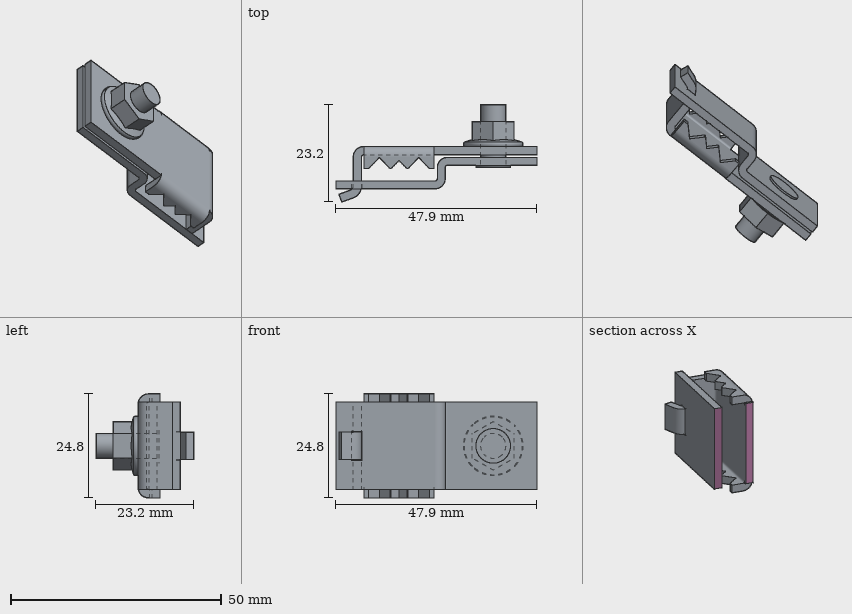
import cadquery as cq
import math

LENGTH = 47.9
WIDTH = 20.9
BEND_INNER_RADIUS = 0.55

BACK_THICKNESS = 2.0
BACK_BEND_OUTER_RADIUS = BEND_INNER_RADIUS + BACK_THICKNESS
ARM_OUTER_X = 4.1
ARM_INNER_X = ARM_OUTER_X + BACK_THICKNESS

HOOK_WIDTH = 6.5
HOOK_INNER_RADIUS = 1.0
HOOK_OUTER_RADIUS = HOOK_INNER_RADIUS + BACK_THICKNESS
HOOK_TILT = 20.0
HOOK_TIP_LENGTH = 2.9
HOOK_BEND_CENTER_X = ARM_OUTER_X - HOOK_INNER_RADIUS
HOOK_BEND_CENTER_Y = -9.45

FLANGE_SPAN = 24.8
FLANGE_START_X = 6.65
FLANGE_LENGTH = 16.75
FLANGE_CENTER_X = FLANGE_START_X + FLANGE_LENGTH / 2
FLANGE_DEPTH = 5.25
TOOTH_TIP_WIDTH = 0.3
END_TOOTH_TIP_WIDTH = 1.15
OUTER_NOTCH_DEPTH = 2.6
OUTER_NOTCH_OFFSET = 4.7
NOTCH_HALF_WIDTH = FLANGE_LENGTH / 2 - END_TOOTH_TIP_WIDTH - OUTER_NOTCH_OFFSET
MIDDLE_NOTCH_HALF_WIDTH = OUTER_NOTCH_OFFSET - NOTCH_HALF_WIDTH - TOOTH_TIP_WIDTH
MIDDLE_NOTCH_DEPTH = OUTER_NOTCH_DEPTH * MIDDLE_NOTCH_HALF_WIDTH / NOTCH_HALF_WIDTH

FRONT_THICKNESS = 1.9
FRONT_BEND_OUTER_RADIUS = BEND_INNER_RADIUS + FRONT_THICKNESS
PLATE_GAP = 0.57
FRONT_STEP = 5.6
STEP_START_X = 23.6
STEP_WEB_RIGHT_X = STEP_START_X + FRONT_BEND_OUTER_RADIUS
STEP_WEB_LEFT_X = STEP_WEB_RIGHT_X - FRONT_THICKNESS
STEP_END_X = STEP_WEB_LEFT_X + FRONT_BEND_OUTER_RADIUS
FRONT_HIGH_TOP_Y = -BACK_THICKNESS - PLATE_GAP
FRONT_HIGH_BOTTOM_Y = FRONT_HIGH_TOP_Y - FRONT_THICKNESS
FRONT_LOW_TOP_Y = FRONT_HIGH_TOP_Y - FRONT_STEP
FRONT_LOW_BOTTOM_Y = FRONT_LOW_TOP_Y - FRONT_THICKNESS
SLOT_START_X = 3.8
SLOT_LENGTH = 2.5
SLOT_WIDTH = 6.9

BOLT_X = 37.45
SHANK_DIAMETER = 6.0
SHANK_END_Y = 9.95
HEAD_DIAMETER = 8.25
HEAD_THICKNESS = 0.5

NUT_HEIGHT = 5.9
NUT_ACROSS_FLATS = 10.0
NUT_ACROSS_CORNERS = NUT_ACROSS_FLATS / math.cos(math.radians(30))
NUT_FLANGE_BASE_RADIUS = 6.95
NUT_FLANGE_MAX_RADIUS = 7.1
NUT_FLANGE_RIM_RADIUS = 6.9
NUT_FLANGE_RIM_HEIGHT = 1.05
NUT_FLANGE_TOP_RADIUS = NUT_ACROSS_FLATS / 2
NUT_FLANGE_TOP_HEIGHT = 1.65


def extrude_across(outline, width):
    """Extrude an XY outline symmetrically about Z = 0."""
    return outline.extrude(width / 2, both=True)


def cylinder_along_y(diameter, start_y, end_y):
    """Cylinder on the bolt axis between two Y positions."""
    return (
        cq.Workplane("XZ", origin=(BOLT_X, start_y, 0))
        .circle(diameter / 2)
        .extrude(start_y - end_y)
    )


def make_back_sheet():
    """Flat plate bent down into a full-width end arm that rests on the front plate."""
    outline = (
        cq.Workplane("XY")
        .moveTo(LENGTH, 0)
        .lineTo(ARM_OUTER_X + BACK_BEND_OUTER_RADIUS, 0)
        .radiusArc((ARM_OUTER_X, -BACK_BEND_OUTER_RADIUS), -BACK_BEND_OUTER_RADIUS)
        .lineTo(ARM_OUTER_X, FRONT_LOW_TOP_Y)
        .lineTo(ARM_INNER_X, FRONT_LOW_TOP_Y)
        .lineTo(ARM_INNER_X, -BACK_BEND_OUTER_RADIUS)
        .radiusArc((ARM_INNER_X + BEND_INNER_RADIUS, -BACK_THICKNESS), BEND_INNER_RADIUS)
        .lineTo(LENGTH, -BACK_THICKNESS)
        .close()
    )
    return extrude_across(outline, WIDTH)


def make_hook():
    """Narrow tongue that continues the arm through the slot and bends outward."""
    tilt = math.radians(HOOK_TILT)
    normal_x, normal_y = math.sin(tilt), -math.cos(tilt)
    tip_dx, tip_dy = -HOOK_TIP_LENGTH * math.cos(tilt), -HOOK_TIP_LENGTH * math.sin(tilt)

    def bend_end(radius):
        return HOOK_BEND_CENTER_X + radius * normal_x, HOOK_BEND_CENTER_Y + radius * normal_y

    outer_x, outer_y = bend_end(HOOK_OUTER_RADIUS)
    inner_x, inner_y = bend_end(HOOK_INNER_RADIUS)
    outline = (
        cq.Workplane("XY")
        .moveTo(ARM_INNER_X, FRONT_LOW_TOP_Y)
        .lineTo(ARM_INNER_X, HOOK_BEND_CENTER_Y)
        .radiusArc((outer_x, outer_y), HOOK_OUTER_RADIUS)
        .lineTo(outer_x + tip_dx, outer_y + tip_dy)
        .lineTo(inner_x + tip_dx, inner_y + tip_dy)
        .lineTo(inner_x, inner_y)
        .radiusArc((ARM_OUTER_X, HOOK_BEND_CENTER_Y), -HOOK_INNER_RADIUS)
        .lineTo(ARM_OUTER_X, FRONT_LOW_TOP_Y)
        .close()
    )
    return extrude_across(outline, HOOK_WIDTH)


def flange_block(width, back_y, corner_radius):
    """Block from back_y to the tooth tips with its two back corners rounded."""
    depth = FLANGE_DEPTH + back_y
    return (
        cq.Workplane("YZ", origin=(FLANGE_START_X, back_y - depth / 2, 0))
        .rect(depth, width)
        .extrude(FLANGE_LENGTH)
        .edges("|X and >Y")
        .fillet(corner_radius)
    )


def make_notch(center_x, half_width, depth):
    """Triangular gap between two teeth, cut through both flanges."""
    outline = cq.Workplane("XY").polyline([
        (center_x - half_width, -FLANGE_DEPTH),
        (center_x, -FLANGE_DEPTH + depth),
        (center_x + half_width, -FLANGE_DEPTH),
    ]).close()
    return extrude_across(outline, FLANGE_SPAN)


def make_flange_channel():
    """Channel of two toothed side flanges and the web between them, bent from one sheet."""
    inner_width = FLANGE_SPAN - 2 * BACK_THICKNESS
    channel = flange_block(FLANGE_SPAN, 0, BACK_BEND_OUTER_RADIUS).cut(
        flange_block(inner_width, -BACK_THICKNESS, BEND_INNER_RADIUS)
    )
    for side in (-1, 1):
        notch_x = FLANGE_CENTER_X + side * OUTER_NOTCH_OFFSET
        channel = channel.cut(make_notch(notch_x, NOTCH_HALF_WIDTH, OUTER_NOTCH_DEPTH))
    return channel.cut(make_notch(FLANGE_CENTER_X, MIDDLE_NOTCH_HALF_WIDTH, MIDDLE_NOTCH_DEPTH))


def make_back_plate():
    """Back plate, with the flat sheet replaced by the channel along the flanges."""
    channel_gap = cq.Workplane("XY").box(FLANGE_LENGTH, BACK_THICKNESS, WIDTH).translate(
        (FLANGE_CENTER_X, -BACK_THICKNESS / 2, 0)
    )
    return (
        make_back_sheet()
        .cut(channel_gap)
        .union(make_flange_channel())
        .union(make_hook())
        .cut(cylinder_along_y(SHANK_DIAMETER, -BACK_THICKNESS, 0))
    )


def make_front_plate():
    """Plate with a double bend, a slot for the hook and a hole for the bolt."""
    outer_radius = FRONT_BEND_OUTER_RADIUS
    outline = (
        cq.Workplane("XY")
        .moveTo(0, FRONT_LOW_TOP_Y)
        .lineTo(STEP_START_X, FRONT_LOW_TOP_Y)
        .radiusArc((STEP_WEB_LEFT_X, FRONT_LOW_TOP_Y + BEND_INNER_RADIUS), -BEND_INNER_RADIUS)
        .lineTo(STEP_WEB_LEFT_X, FRONT_HIGH_TOP_Y - outer_radius)
        .radiusArc((STEP_END_X, FRONT_HIGH_TOP_Y), outer_radius)
        .lineTo(LENGTH, FRONT_HIGH_TOP_Y)
        .lineTo(LENGTH, FRONT_HIGH_BOTTOM_Y)
        .lineTo(STEP_END_X, FRONT_HIGH_BOTTOM_Y)
        .radiusArc((STEP_WEB_RIGHT_X, FRONT_HIGH_BOTTOM_Y - BEND_INNER_RADIUS), -BEND_INNER_RADIUS)
        .lineTo(STEP_WEB_RIGHT_X, FRONT_LOW_BOTTOM_Y + outer_radius)
        .radiusArc((STEP_START_X, FRONT_LOW_BOTTOM_Y), outer_radius)
        .lineTo(0, FRONT_LOW_BOTTOM_Y)
        .close()
    )
    slot = cq.Workplane("XY").box(SLOT_LENGTH, FRONT_THICKNESS, SLOT_WIDTH).translate(
        (SLOT_START_X + SLOT_LENGTH / 2, FRONT_LOW_TOP_Y - FRONT_THICKNESS / 2, 0)
    )
    bolt_hole = cylinder_along_y(SHANK_DIAMETER, FRONT_HIGH_BOTTOM_Y, FRONT_HIGH_TOP_Y)
    return extrude_across(outline, WIDTH).cut(slot).cut(bolt_hole)


def make_bolt():
    """Plain shank with a thin disc head against the front plate."""
    head_face_y = FRONT_HIGH_BOTTOM_Y - HEAD_THICKNESS
    head = cylinder_along_y(HEAD_DIAMETER, head_face_y, FRONT_HIGH_BOTTOM_Y)
    return head.union(cylinder_along_y(SHANK_DIAMETER, FRONT_HIGH_BOTTOM_Y, SHANK_END_Y))


def make_nut():
    """Hexagon, with flats facing X, on a sloped flange with a rounded rim."""
    hexagon = (
        cq.Workplane("XZ", origin=(BOLT_X, 0, 0))
        .transformed(rotate=(0, 0, 90))
        .polygon(6, NUT_ACROSS_CORNERS)
        .extrude(-NUT_HEIGHT)
    )
    flange = (
        cq.Workplane("XY")
        .lineTo(NUT_FLANGE_BASE_RADIUS, 0)
        .threePointArc(
            (NUT_FLANGE_MAX_RADIUS, NUT_FLANGE_RIM_HEIGHT / 2),
            (NUT_FLANGE_RIM_RADIUS, NUT_FLANGE_RIM_HEIGHT),
        )
        .lineTo(NUT_FLANGE_TOP_RADIUS, NUT_FLANGE_TOP_HEIGHT)
        .lineTo(0, NUT_FLANGE_TOP_HEIGHT)
        .close()
        .revolve(360, (0, 0, 0), (0, 1, 0))
        .translate((BOLT_X, 0, 0))
    )
    return hexagon.union(flange).cut(cylinder_along_y(SHANK_DIAMETER, 0, NUT_HEIGHT))


back_plate = make_back_plate()
front_plate = make_front_plate()
bolt = make_bolt()
nut = make_nut()

result = cq.Compound.makeCompound([
    body.solids().val() for body in (back_plate, front_plate, bolt, nut)
])